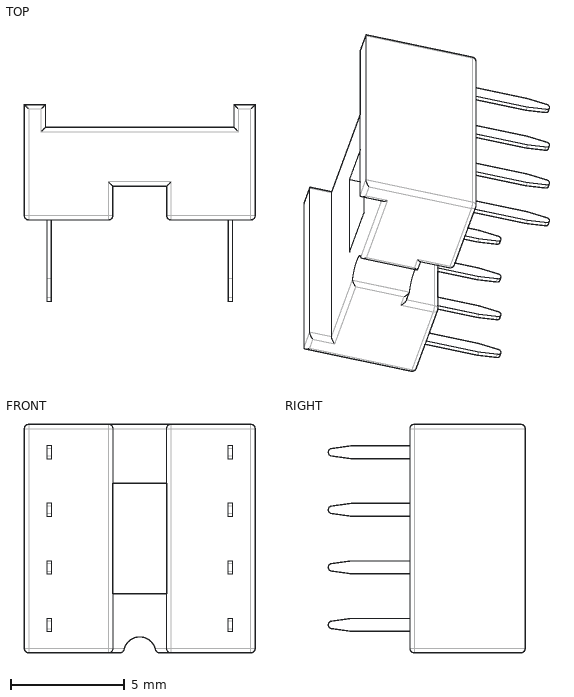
import cadquery as cq

WIDTH = 10.2
DEPTH = 5.1
HEIGHT = 10.1
EDGE_RADIUS = 0.2

CHANNEL_WIDTH = 2.37
CHANNEL_DEPTH = 1.49
WINDOW_HEIGHT = 4.87

RAIL_THICKNESS = 0.95
RAIL_HEIGHT = 1.0

MARK_RADIUS = 0.7

PINS_PER_ROW = 4
PIN_PITCH = 2.54
ROW_SPACING = 8.0
PIN_LENGTH = 3.6
PIN_THICKNESS = 0.2
PIN_WIDTH = 0.58
PIN_TAPER_LENGTH = 1.02
PIN_TIP_WIDTH = 0.35
PIN_TIP_LENGTH = 0.17


def make_profile():
    """Outline of the housing across Z, cut by the channel and the recess."""
    half_width = WIDTH / 2
    half_channel = CHANNEL_WIDTH / 2
    half_recess = half_width - RAIL_THICKNESS
    recess_floor = DEPTH - RAIL_HEIGHT
    return cq.Workplane("XY").workplane(offset=-HEIGHT / 2).polyline(
        [
            (-half_width, 0),
            (-half_channel, 0),
            (-half_channel, CHANNEL_DEPTH),
            (half_channel, CHANNEL_DEPTH),
            (half_channel, 0),
            (half_width, 0),
            (half_width, DEPTH),
            (half_recess, DEPTH),
            (half_recess, recess_floor),
            (-half_recess, recess_floor),
            (-half_recess, DEPTH),
            (-half_width, DEPTH),
        ]
    ).close()


def make_housing():
    body = make_profile().extrude(HEIGHT)
    mark = (
        cq.Workplane("XZ")
        .center(0, -HEIGHT / 2)
        .circle(MARK_RADIUS)
        .extrude(-DEPTH)
    )
    body = body.cut(mark)

    body = body.edges("(|Z and <Y) or (>Z or <Z)").fillet(EDGE_RADIUS)

    window = cq.Workplane("XY").box(CHANNEL_WIDTH, 2 * DEPTH, WINDOW_HEIGHT)
    return body.cut(window)


def make_pin(x, z):
    """Flat pin pointing to -Y, with a tapered and rounded tip."""
    taper_start = -(PIN_LENGTH - PIN_TAPER_LENGTH)
    round_start = -(PIN_LENGTH - PIN_TIP_LENGTH)
    return (
        cq.Workplane("YZ", origin=(x - PIN_THICKNESS / 2, 0, z))
        .moveTo(0, PIN_WIDTH / 2)
        .lineTo(taper_start, PIN_WIDTH / 2)
        .lineTo(round_start, PIN_TIP_WIDTH / 2)
        .threePointArc((-PIN_LENGTH, 0), (round_start, -PIN_TIP_WIDTH / 2))
        .lineTo(taper_start, -PIN_WIDTH / 2)
        .lineTo(0, -PIN_WIDTH / 2)
        .close()
        .extrude(PIN_THICKNESS)
    )


housing = make_housing()

first_pin_z = -PIN_PITCH * (PINS_PER_ROW - 1) / 2
pins = [
    make_pin(side * ROW_SPACING / 2, first_pin_z + index * PIN_PITCH)
    for side in (-1, 1)
    for index in range(PINS_PER_ROW)
]

result = cq.Compound.makeCompound([housing.val(), *[pin.val() for pin in pins]])